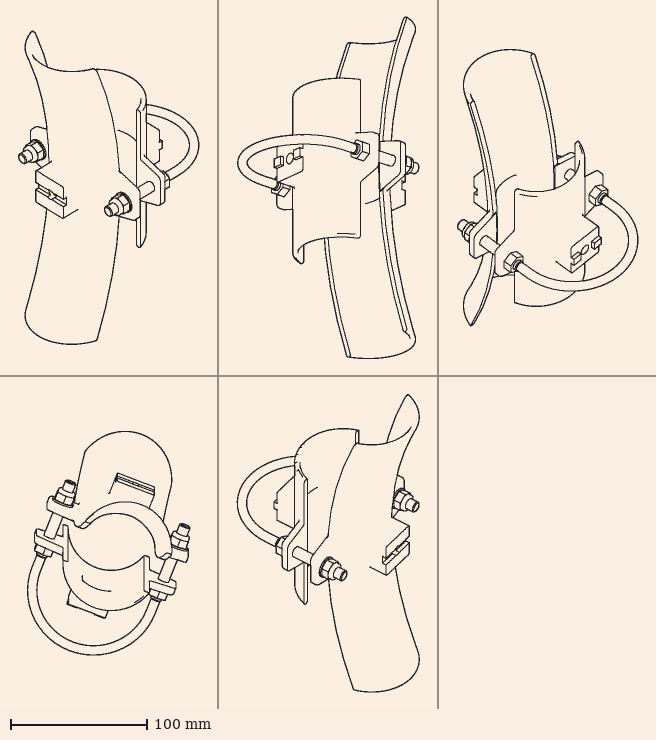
import cadquery as cq
import math


shell_outer_r = 35.8
shell_wall = 4.0
shell_inner_r = shell_outer_r - shell_wall
half_gap = 10.5
straight_length = 126.0
bent_length = 250.0
bend_axis_y = -345.0
sweep_angle = 60.0
trim_size = 500.0
shell_end_fillet = 1.8

flange_half_width = 55.0
flange_thickness = 6.2
flange_root_x = 31.0
flange_tip_half_height = 13.0
flange_slope = 16.0
flange_corner_r = 3.8
flange_edge_fillet = 2.5
flange_root_fillet = 1.8
flange_face = half_gap + flange_thickness

block_side = 29.2
block_root = 22.5
block_face = 49.5
block_edge_fillet = 1.5
block_root_fillet = 1.8
block_wall = 3.8
block_back_wall = 6.0
pocket_mouth_fillet = 1.8
pocket_fillet = 1.5
pocket_back_fillet = 1.2
block_hole_d = 8.0
key_width = 6.8
key_height = 2.8
key_length = 7.5
key_depth = 3.2

bolt_half_span = 45.0
bolt_arc_y = 36.2
bolt_rod_d = 7.0
thread_d = 8.2
thread_start_y = 26.2
thread_end_y = -33.8
thread_chamfer = 0.8
nut_across_flats = 13.0
nut_height = 6.8
washer_d = 16.0
washer_thickness = 1.2
lower_nut_height = 5.8
collar_height = 3.0
collar_fillet = 1.2

SIDES = (-1, 1)
selection_margin = 1.2


def rod_along_y(diameter, x, y_from, y_to):
    """Cylinder parallel to Y, from y_from up to y_to."""
    return cq.Workplane("XZ", origin=(x, y_to, 0)).circle(diameter / 2).extrude(y_to - y_from)


def half_disc(radius, side):
    """Closed sketch of the part of a disc beyond the gap, on the +Y or -Y side."""
    half_chord = math.sqrt(radius**2 - half_gap**2)
    return (
        cq.Workplane("XY")
        .moveTo(-half_chord, side * half_gap)
        .threePointArc((0, side * radius), (half_chord, side * half_gap))
        .close()
    )


def straight_half(radius):
    return half_disc(radius, 1).extrude(straight_length / 2, both=True)


def bent_half(radius):
    """Half disc swept about the bend axis and trimmed square to Z at both ends."""
    swept = (
        half_disc(radius, -1)
        .revolve(sweep_angle, (0, bend_axis_y, 0), (1, bend_axis_y, 0))
        .rotate((0, bend_axis_y, 0), (1, bend_axis_y, 0), -sweep_angle / 2)
    )
    return swept.intersect(cq.Workplane("XY").box(trim_size, trim_size, bent_length))


def block(side):
    """Square block reaching from inside the shell wall to its outer face."""
    return (
        cq.Workplane("XY")
        .box(block_side, block_face - block_root, block_side)
        .edges("|Y")
        .fillet(block_edge_fillet)
        .translate((0, side * (block_face + block_root) / 2, 0))
    )


def pocket(side):
    """Hollow that opens into the shell and leaves side walls and a thicker back wall in the block."""
    pocket_side = block_side - 2 * block_wall
    pocket_face = block_face - block_back_wall
    back_face = ">Y" if side > 0 else "<Y"
    return (
        cq.Workplane("XY")
        .box(pocket_side, pocket_face - block_root, pocket_side)
        .edges("|Y")
        .fillet(pocket_fillet)
        .faces(back_face)
        .edges()
        .fillet(pocket_back_fillet)
        .translate((0, side * (pocket_face + block_root) / 2, 0))
    )


def flange(side, x_side):
    """Tapered ear with rounded tip corners and a rounded edge on its outer face."""
    rise = (flange_half_width - flange_root_x) * math.tan(math.radians(flange_slope))
    root_half_height = flange_tip_half_height + rise
    ear = (
        cq.Workplane("XZ", origin=(0, side * half_gap, 0))
        .moveTo(x_side * flange_root_x, -root_half_height)
        .lineTo(x_side * flange_half_width, -flange_tip_half_height)
        .lineTo(x_side * flange_half_width, flange_tip_half_height)
        .lineTo(x_side * flange_root_x, root_half_height)
        .close()
        .extrude(-side * flange_thickness)
    )
    tip_face = ">X" if x_side > 0 else "<X"
    root_edge = "<X" if x_side > 0 else ">X"
    outer_face = ">Y" if side > 0 else "<Y"
    ear = ear.faces(tip_face).edges("|Y").fillet(flange_corner_r)
    return ear.faces(outer_face).edges(f"not {root_edge}").fillet(flange_edge_fillet)


def edges_within(body, side, x_range, y_range, z_half):
    """Edges centred in a box given by X limits, distances from the split plane and a Z half height."""
    y_min, y_max = sorted(side * y for y in y_range)
    return body.edges(
        cq.selectors.BoxSelector((x_range[0], y_min, -z_half), (x_range[1], y_max, z_half))
    )


def saddle(side, half_body):
    """Half shell with its block and two flanges, bored out to the pipe radius."""
    body = half_body(shell_outer_r).union(block(side))
    for x_side in SIDES:
        body = body.union(flange(side, x_side))

    block_reach = block_side / 2 + selection_margin
    block_depth = (half_gap + selection_margin, shell_outer_r + selection_margin)
    body = edges_within(body, side, (-block_reach, block_reach), block_depth, block_reach).fillet(
        block_root_fillet
    )
    flange_depth = (half_gap + selection_margin, flange_face + selection_margin)
    for x_side in SIDES:
        x_range = sorted((x_side * (shell_inner_r - selection_margin), x_side * shell_outer_r))
        body = edges_within(body, side, x_range, flange_depth, shell_inner_r).fillet(
            flange_root_fillet
        )

    body = body.cut(half_body(shell_inner_r)).cut(pocket(side))
    mouth_depth = (half_gap + selection_margin, shell_inner_r + selection_margin)
    mouth_reach = block_side / 2 - block_wall + selection_margin
    body = edges_within(body, side, (-mouth_reach, mouth_reach), mouth_depth, mouth_reach).fillet(
        pocket_mouth_fillet
    )
    return body.faces("<Z or >Z").edges("not #Z").fillet(shell_end_fillet)


def keys():
    """Two key tabs on the back of the straight saddle's block."""
    tab_x = (block_side - key_length) / 2
    tab_y = block_face + key_height / 2
    return (
        cq.Workplane("XY")
        .pushPoints([(x_side * tab_x, tab_y) for x_side in SIDES])
        .box(key_length, key_height, key_width)
    )


def keyway():
    """Groove across the back of the bent saddle's block, matching the key tabs."""
    return cq.Workplane("XY").box(block_side, 2 * key_depth, key_width).translate((0, -block_face, 0))


def u_bolt():
    """Bent rod with two straight legs that end in thicker threaded lengths."""
    rod = (
        cq.Workplane("XZ", origin=(bolt_half_span, thread_start_y, 0))
        .circle(bolt_rod_d / 2)
        .sweep(
            cq.Workplane("XY")
            .moveTo(bolt_half_span, thread_start_y)
            .lineTo(bolt_half_span, bolt_arc_y)
            .threePointArc((0, bolt_arc_y + bolt_half_span), (-bolt_half_span, bolt_arc_y))
            .lineTo(-bolt_half_span, thread_start_y)
        )
    )
    for x_side in SIDES:
        thread = rod_along_y(thread_d, x_side * bolt_half_span, thread_end_y, thread_start_y)
        rod = rod.union(thread.faces("<Y or >Y").chamfer(thread_chamfer))
    return rod


def hex_nut(x, y_from, y_to):
    """Hexagonal nut with corners pointing along Z."""
    across_corners = nut_across_flats / math.cos(math.radians(30))
    return (
        cq.Workplane("XZ", origin=(x, y_to, 0))
        .transformed(rotate=(0, 0, 90))
        .polygon(6, across_corners)
        .extrude(y_to - y_from)
    )


def fasteners(x):
    """Plain nut behind the straight saddle; washer and collared lock nut behind the bent one."""
    washer_y = -flange_face - washer_thickness
    collar_y = washer_y - lower_nut_height
    collar_end_y = collar_y - collar_height
    collar = rod_along_y(nut_across_flats, x, collar_end_y, collar_y)
    return (
        hex_nut(x, flange_face, flange_face + nut_height)
        .union(rod_along_y(washer_d, x, washer_y, -flange_face))
        .union(hex_nut(x, collar_y, washer_y))
        .union(collar.faces("<Y").edges().fillet(collar_fillet))
    )


straight_saddle = saddle(1, straight_half).union(keys())
bent_saddle = saddle(-1, bent_half).cut(keyway())

hole_half_length = block_face + key_height
saddles = straight_saddle.union(bent_saddle).cut(
    rod_along_y(block_hole_d, 0, -hole_half_length, hole_half_length)
)

result = saddles.union(u_bolt())
for x_side in SIDES:
    result = result.union(fasteners(x_side * bolt_half_span))